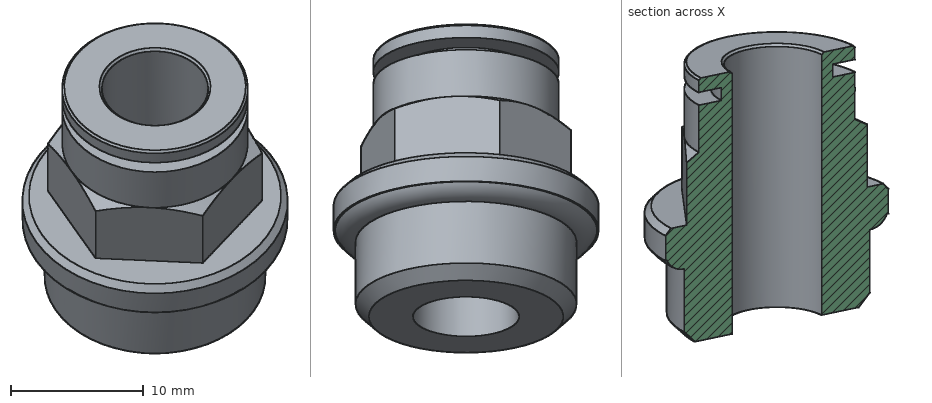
import cadquery as cq
import math

total_height = 21.0
flange_bottom = 6.0
flange_rim_bottom = 7.0
flange_top = 9.5
hex_top = 15.1
groove_bottom = 18.85
groove_top = 19.85

spigot_diameter = 16.67
flange_diameter = 20.0
body_diameter = 14.0
groove_diameter = 10.0
bore_diameter = 8.0
hex_across_flats = body_diameter

spigot_chamfer = 1.0
flange_chamfer = 0.5
collar_chamfer = 0.17
bore_chamfer = 0.19
hex_chamfer_angle = 30.0
underside_step = 0.13


def cylinder(diameter, bottom, top):
    """Upright cylinder on the Z axis between two heights."""
    return cq.Workplane("XY").workplane(offset=bottom).circle(diameter / 2).extrude(top - bottom)


def make_spigot():
    return cylinder(spigot_diameter, 0, flange_bottom).faces("<Z").chamfer(spigot_chamfer)


def make_flange():
    """Flange with a chamfered top edge and a curved underside, revolved about Z."""
    radius = flange_diameter / 2
    inner_radius = spigot_diameter / 2
    arc_start_radius = radius - underside_step
    arc_width = arc_start_radius - inner_radius
    arc_height = flange_rim_bottom - flange_bottom
    arc_radius = (arc_width**2 + arc_height**2) / (2 * arc_height)
    half_sweep = math.atan2(arc_height, arc_width)
    arc_middle = (
        inner_radius + arc_radius * math.sin(half_sweep),
        flange_bottom + arc_radius * (1 - math.cos(half_sweep)),
    )
    return (
        cq.Workplane("XZ")
        .moveTo(0, flange_bottom)
        .lineTo(inner_radius, flange_bottom)
        .threePointArc(arc_middle, (arc_start_radius, flange_rim_bottom))
        .lineTo(radius, flange_rim_bottom)
        .lineTo(radius, flange_top - flange_chamfer)
        .lineTo(radius - flange_chamfer, flange_top)
        .lineTo(0, flange_top)
        .close()
        .revolve(360, (0, 0), (0, 1))
    )


def make_hexagon():
    """Hexagon with corners on the Y axis, its top corners trimmed by a cone."""
    corner_radius = hex_across_flats / math.sqrt(3)
    flat_radius = hex_across_flats / 2
    prism = (
        cq.Workplane("XY")
        .workplane(offset=flange_top)
        .polygon(6, 2 * corner_radius)
        .extrude(hex_top - flange_top)
        .rotate((0, 0, 0), (0, 0, 1), 30)
    )
    corner_drop = (corner_radius - flat_radius) * math.tan(math.radians(hex_chamfer_angle))
    trimming_cone = (
        cq.Workplane("XZ")
        .moveTo(0, flange_top)
        .lineTo(corner_radius, flange_top)
        .lineTo(corner_radius, hex_top - corner_drop)
        .lineTo(flat_radius, hex_top)
        .lineTo(0, hex_top)
        .close()
        .revolve(360, (0, 0), (0, 1))
    )
    return prism.intersect(trimming_cone)


def make_release_collar():
    """Upper sleeve, narrow neck and the chamfered collar at the top."""
    sleeve = cylinder(body_diameter, hex_top, groove_bottom)
    neck = cylinder(groove_diameter, groove_bottom, groove_top)
    collar = cylinder(body_diameter, groove_top, total_height).faces(">Z").chamfer(collar_chamfer)
    return sleeve.union(neck).union(collar)


def make_bore():
    """Through bore with a small chamfer at its top mouth."""
    mouth_radius = bore_diameter / 2 + bore_chamfer
    return (
        cq.Workplane("XZ")
        .lineTo(bore_diameter / 2, 0)
        .lineTo(bore_diameter / 2, total_height - bore_chamfer)
        .lineTo(mouth_radius, total_height)
        .lineTo(0, total_height)
        .close()
        .revolve(360, (0, 0), (0, 1))
    )


result = (
    make_spigot()
    .union(make_flange())
    .union(make_hexagon())
    .union(make_release_collar())
    .cut(make_bore())
)